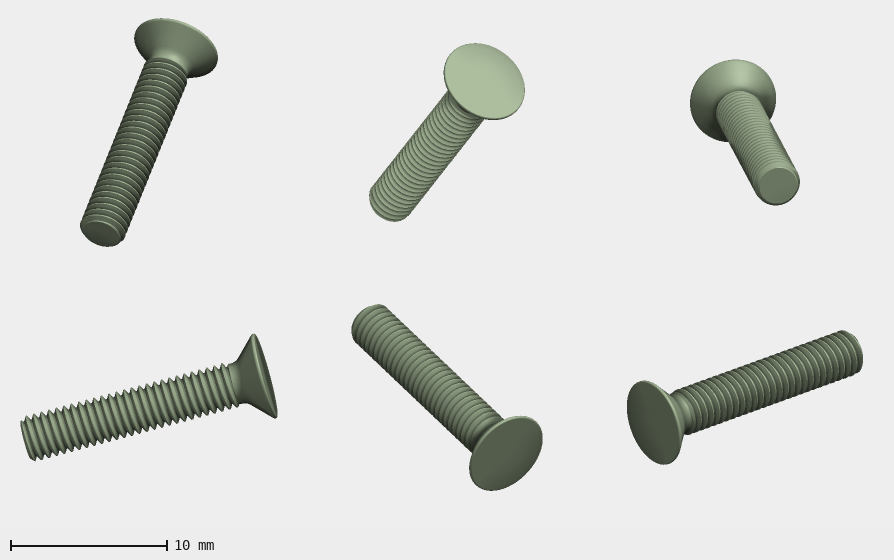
import cadquery as cq
import math

length = 16.0
head_diameter = 5.6
rim_height = 0.2
rim_top_round = 0.1
rim_cone_round = 0.13
cone_angle = math.radians(45)
neck_diameter = 2.67
neck_fillet = 0.8
neck_end = 2.11
tip_diameter = 2.45

pitch = 0.5
thread_diameter = 3.0
root_diameter = 2.38
crest_width = pitch / 8
flank_angle = math.radians(30)
crest_depth = 2.53

head_radius = head_diameter / 2
neck_radius = neck_diameter / 2
tip_radius = tip_diameter / 2
thread_radius = thread_diameter / 2
root_radius = root_diameter / 2


def revolve_about_y(profile):
    return profile.close().revolve(360, (0, 0, 0), (0, 1, 0))


def make_head():
    """Rounded rim, 45 degree cone and the neck filleted into it."""
    cone_end_radius = neck_radius + neck_fillet * (1 - math.cos(cone_angle))
    cone_end = rim_height + (head_radius - cone_end_radius) / math.tan(cone_angle)
    fillet_end = cone_end + neck_fillet * math.sin(cone_angle)
    fillet_middle = (
        neck_radius + neck_fillet * (1 - math.cos(cone_angle / 2)),
        -fillet_end + neck_fillet * math.sin(cone_angle / 2),
    )
    profile = (
        cq.Workplane("XY")
        .lineTo(head_radius, 0)
        .lineTo(head_radius, -rim_height)
        .lineTo(cone_end_radius, -cone_end)
        .threePointArc(fillet_middle, (neck_radius, -fillet_end))
        .lineTo(neck_radius, -neck_end)
        .lineTo(0, -neck_end)
    )
    head = revolve_about_y(profile)
    widest_edges = cq.selectors.RadiusNthSelector(-1)
    head = head.edges(widest_edges).edges("<Y").fillet(rim_cone_round)
    return head.faces(">Y").edges().fillet(rim_top_round)


def make_thread_faces(corners, turns):
    """Helical strips between neighbouring corners, one turn long, stacked pitch by pitch."""
    helices = [
        cq.Wire.makeHelix(pitch, pitch, radius).translate((0, 0, height)).Edges()[0]
        for radius, height in corners
    ]
    strips = [cq.Face.makeRuledSurface(low, high) for low, high in zip(helices, helices[1:])]
    stacked = [strip.translate((0, 0, turn * pitch)) for turn in range(turns) for strip in strips]

    axis_low = cq.Vector(0, 0, corners[0][1])
    axis_high = cq.Vector(0, 0, corners[-1][1])
    step_outline = [axis_low] + [cq.Vector(radius, 0, height) for radius, height in corners] + [axis_high]
    ramp = cq.Face.makeRuledSurface(helices[0], cq.Edge.makeLine(axis_low, axis_high))
    step = cq.Face.makeFromWires(cq.Wire.makePolygon(step_outline, close=True))
    caps = [face.translate((0, 0, end)) for end in (0, turns * pitch) for face in (ramp, step)]
    return stacked + caps


def make_overlong_thread():
    """Threaded rod that runs past both ends of the shank."""
    half_crest = crest_width / 2
    flank_end = half_crest + (thread_radius - root_radius) * math.tan(flank_angle)
    corners = [
        (thread_radius, -half_crest),
        (thread_radius, half_crest),
        (root_radius, flank_end),
        (root_radius, pitch - flank_end),
        (thread_radius, pitch - half_crest),
    ]
    turns_below = math.ceil((length - crest_depth) / pitch) + 2
    turns_above = math.ceil((crest_depth - neck_end) / pitch) + 1
    faces = make_thread_faces(corners, turns_below + turns_above)
    rod = cq.Solid.makeSolid(cq.Shell.makeShell(faces))
    rod = rod.translate((0, 0, -crest_depth - turns_below * pitch))
    return cq.Workplane(obj=rod.rotate((0, 0, 0), (1, 0, 0), -90))


def make_shank_limit():
    """Flat ends and 45 degree chamfers of the shank; the middle clears the thread crests."""
    crest_clearance = 0.16
    limit_radius = thread_radius + crest_clearance
    start_chamfer = limit_radius - neck_radius
    tip_chamfer = limit_radius - tip_radius
    profile = (
        cq.Workplane("XY")
        .moveTo(0, -neck_end)
        .lineTo(neck_radius, -neck_end)
        .lineTo(limit_radius, -neck_end - start_chamfer)
        .lineTo(limit_radius, -length + tip_chamfer)
        .lineTo(tip_radius, -length)
        .lineTo(0, -length)
    )
    return revolve_about_y(profile)


shank = make_overlong_thread().intersect(make_shank_limit())
result = make_head().union(shank).solids()